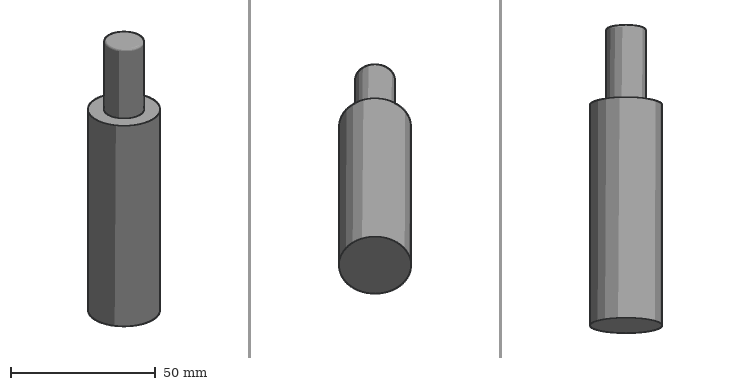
import cadquery as cq

total_length = 105.0
body_diameter = 25.0
pin_diameter = 14.0
pin_length = 27.0
tip_fillet = 1.0

body_length = total_length - pin_length

body = cq.Workplane("XY").circle(body_diameter / 2).extrude(body_length)

pin = (
    cq.Workplane("XY")
    .workplane(offset=body_length)
    .circle(pin_diameter / 2)
    .extrude(pin_length)
    .faces(">Z")
    .edges()
    .fillet(tip_fillet)
)

result = body.union(pin)